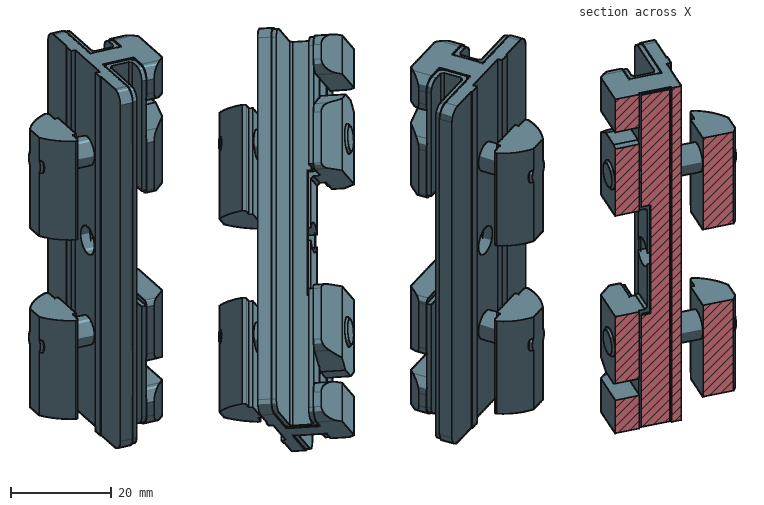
import cadquery as cq

PLATE_WIDTH = 32.0
LENGTH = 80.0
PLATE_THICKNESS = 2.8
CORNER_RADIUS = 2.5
CHANNEL_HALF_WIDTH = 5.4
CHANNEL_DEPTH = 0.75
RIB_WIDTH = 2.2
RIB_HEIGHT = 0.2

WEB_HALF_WIDTH = 2.7
JAW_HALF_WIDTH = 8.55
JAW_FRONT_Y = 9.65
JAW_BACK_Y = 14.8
JAW_CHAMFER_WIDTH = 3.3
JAW_CHAMFER_DEPTH = 3.5
END_JAW_LENGTH = 8.0
JAW_GAP = 3.4
INNER_JAW_TAPER = 3.66
INNER_JAW_NARROW_HALF_WIDTH = 2.3
INNER_JAW_SMALL_RADIUS = 1.0

WINDOW_HALF_LENGTH = 12.0
WINDOW_FLOOR_Y = 7.8
WINDOW_CHAMFER = 0.55
CENTER_HOLE_DIAMETER = 6.0

LINING_THICKNESS = 1.0
LINING_INSET = 0.25
LINING_INNER_CHAMFER = 0.55
LINING_OUTER_CHAMFER = 0.8
LINING_WINDOW_MARGIN = 0.9
LINING_WINDOW_DROP = 0.5

BOLT_PITCH = 40.0
BOLT_DIAMETER = 6.1
BOLT_END_CHAMFER = 0.5
BOLT_BACK_Y = 15.3
NUT_BACK_Y = -3.8
NUT_FRONT_Y = -11.1
NUT_LENGTH = 22.0
NUT_REACH_ABOVE_BOLT = 6.5
NUT_PAD_HALF_WIDTH = 4.0
NUT_PAD_HEIGHT = 0.8
NUT_SHOULDER_HALF_WIDTH = 6.85
NUT_SHOULDER_RADIUS = 0.7
NUT_FRONT_HALF_WIDTH = 2.05
NUT_FLANK_MIDDLE = (4.85, -8.65)


def box(x_range, y_range, z_range):
    """Axis-aligned box between the given limits."""
    size = [high - low for low, high in (x_range, y_range, z_range)]
    return cq.Workplane("XY").box(*size, centered=False).translate((x_range[0], y_range[0], z_range[0]))


def cylinder_along_y(diameter, y_range, z):
    """Cylinder along Y, centred on x = 0 at height z."""
    return (
        cq.Workplane("XZ", origin=(0, y_range[1], z))
        .circle(diameter / 2).extrude(y_range[1] - y_range[0])
    )


def symmetric_prism(half_outline):
    """Full-length prism along Z from the +X half of a cross-section."""
    return (
        cq.Workplane("XY").workplane(offset=-LENGTH / 2)
        .polyline(half_outline).mirrorY().extrude(LENGTH)
    )


def make_plate():
    half_width = PLATE_WIDTH / 2
    half_length = LENGTH / 2
    plate = box((-half_width, half_width), (0, PLATE_THICKNESS), (-half_length, half_length))
    plate = plate.edges("|Y").fillet(CORNER_RADIUS)
    channel_half = CHANNEL_HALF_WIDTH
    full_length = (-half_length, half_length)
    plate = plate.cut(box((-channel_half, channel_half), (0, CHANNEL_DEPTH), full_length))
    for rib_start in (-channel_half - RIB_WIDTH, channel_half):
        rib_range = (rib_start, rib_start + RIB_WIDTH)
        plate = plate.union(box(rib_range, (-RIB_HEIGHT, CHANNEL_DEPTH), full_length))
    return plate


def make_jaw_plans():
    """Outlines of the jaws at +Z seen along Y, as prisms through the jaw height."""
    end_jaw = box(
        (-JAW_HALF_WIDTH, JAW_HALF_WIDTH),
        (JAW_FRONT_Y, JAW_BACK_Y),
        (LENGTH / 2 - END_JAW_LENGTH, LENGTH / 2),
    ).edges("|Y").fillet(CORNER_RADIUS)

    inner_top = LENGTH / 2 - END_JAW_LENGTH - JAW_GAP
    inner_jaw = (
        cq.Workplane("XZ", origin=(0, JAW_BACK_Y, 0))
        .polyline([
            (-JAW_HALF_WIDTH, WINDOW_HALF_LENGTH),
            (JAW_HALF_WIDTH, WINDOW_HALF_LENGTH),
            (JAW_HALF_WIDTH, inner_top - INNER_JAW_TAPER),
            (INNER_JAW_NARROW_HALF_WIDTH, inner_top),
            (-INNER_JAW_NARROW_HALF_WIDTH, inner_top),
            (-JAW_HALF_WIDTH, inner_top - INNER_JAW_TAPER),
        ]).close()
        .extrude(JAW_BACK_Y - JAW_FRONT_Y)
    )
    inner_jaw = inner_jaw.edges("|Y and <Z").fillet(INNER_JAW_SMALL_RADIUS)
    shoulder_z = inner_top - INNER_JAW_TAPER
    shoulder_edges = cq.selectors.BoxSelector(
        (-PLATE_WIDTH, 0, (WINDOW_HALF_LENGTH + shoulder_z) / 2),
        (PLATE_WIDTH, LENGTH, (inner_top + shoulder_z) / 2),
    )
    inner_jaw = inner_jaw.edges("|Y").edges(shoulder_edges).fillet(CORNER_RADIUS)
    return end_jaw.union(inner_jaw)


def make_jaws():
    section = symmetric_prism([
        (0, JAW_FRONT_Y),
        (JAW_HALF_WIDTH, JAW_FRONT_Y),
        (JAW_HALF_WIDTH, JAW_BACK_Y - JAW_CHAMFER_DEPTH),
        (JAW_HALF_WIDTH - JAW_CHAMFER_WIDTH, JAW_BACK_Y),
        (0, JAW_BACK_Y),
    ])
    plans = make_jaw_plans()
    plans = plans.union(plans.mirror("XY"))
    return section.intersect(plans)


def make_web():
    half_length = LENGTH / 2
    web = box(
        (-WEB_HALF_WIDTH, WEB_HALF_WIDTH), (PLATE_THICKNESS, JAW_FRONT_Y), (-half_length, half_length)
    )
    window = box(
        (-WEB_HALF_WIDTH, WEB_HALF_WIDTH),
        (WINDOW_FLOOR_Y, JAW_FRONT_Y),
        (-WINDOW_HALF_LENGTH, WINDOW_HALF_LENGTH),
    ).edges("|X and <Y").chamfer(WINDOW_CHAMFER)
    return web.cut(window)


def make_lining():
    """C-shaped lining of the groove on the +X side, between plate, web and jaws."""
    bottom = PLATE_THICKNESS
    top = JAW_FRONT_Y
    wall = WEB_HALF_WIDTH
    plate_edge = PLATE_WIDTH / 2 - LINING_INSET
    jaw_edge = JAW_HALF_WIDTH - LINING_INSET
    half_length = LENGTH / 2 - LINING_INSET
    lining = (
        cq.Workplane("XY").workplane(offset=-half_length)
        .polyline([
            (wall, bottom),
            (plate_edge, bottom),
            (plate_edge, bottom + LINING_THICKNESS),
            (wall + LINING_THICKNESS, bottom + LINING_THICKNESS),
            (wall + LINING_THICKNESS, top - LINING_THICKNESS),
            (jaw_edge, top - LINING_THICKNESS),
            (jaw_edge, top),
            (wall, top),
        ]).close()
        .extrude(2 * half_length)
    )
    lining = lining.edges("|Z").edges("<X").chamfer(LINING_OUTER_CHAMFER)
    inner_corners = cq.selectors.BoxSelector(
        (wall + LINING_THICKNESS / 2, bottom + LINING_THICKNESS / 2, -LENGTH),
        (wall + 3 * LINING_THICKNESS / 2, top - LINING_THICKNESS / 2, LENGTH),
    )
    lining = lining.edges("|Z").edges(inner_corners).chamfer(LINING_INNER_CHAMFER)
    flange_corners = cq.selectors.BoxSelector(
        (jaw_edge - LINING_INSET, 0, -LENGTH), (PLATE_WIDTH, LENGTH, LENGTH)
    )
    lining = lining.edges("|Y").edges(flange_corners).fillet(CORNER_RADIUS - LINING_INSET)
    window_half = WINDOW_HALF_LENGTH + LINING_WINDOW_MARGIN
    return lining.cut(box(
        (0, PLATE_WIDTH),
        (WINDOW_FLOOR_Y - LINING_WINDOW_DROP, JAW_BACK_Y),
        (-window_half, window_half),
    ))


def make_bolt():
    """Bolt on the Y axis, through jaw, plate and nut, with both ends chamfered."""
    shank = cylinder_along_y(BOLT_DIAMETER, (NUT_FRONT_Y, BOLT_BACK_Y), 0)
    return shank.edges("<Y or >Y").chamfer(BOLT_END_CHAMFER)


def make_nut():
    """Sliding nut with a raised back pad and bulging flanks, placed around its bolt."""
    shoulder_y = NUT_BACK_Y - NUT_PAD_HEIGHT
    lip_y = shoulder_y - NUT_SHOULDER_RADIUS
    return (
        cq.Workplane("XY").workplane(offset=NUT_REACH_ABOVE_BOLT - NUT_LENGTH)
        .moveTo(0, NUT_BACK_Y)
        .lineTo(NUT_PAD_HALF_WIDTH, NUT_BACK_Y)
        .lineTo(NUT_PAD_HALF_WIDTH, shoulder_y)
        .lineTo(NUT_SHOULDER_HALF_WIDTH - NUT_SHOULDER_RADIUS, shoulder_y)
        .radiusArc((NUT_SHOULDER_HALF_WIDTH, lip_y), NUT_SHOULDER_RADIUS)
        .threePointArc(NUT_FLANK_MIDDLE, (NUT_FRONT_HALF_WIDTH, NUT_FRONT_Y))
        .lineTo(0, NUT_FRONT_Y)
        .mirrorY()
        .extrude(NUT_LENGTH)
    )


body = make_plate().union(make_web()).union(make_jaws())
body = body.cut(cylinder_along_y(CENTER_HOLE_DIAMETER, (0, WINDOW_FLOOR_Y), 0))

lining = make_lining()
result = body.union(lining).union(lining.mirror("YZ"))

fastener = make_bolt().union(make_nut())
for bolt_z in (-BOLT_PITCH / 2, BOLT_PITCH / 2):
    result = result.union(fastener.translate((0, 0, bolt_z)))